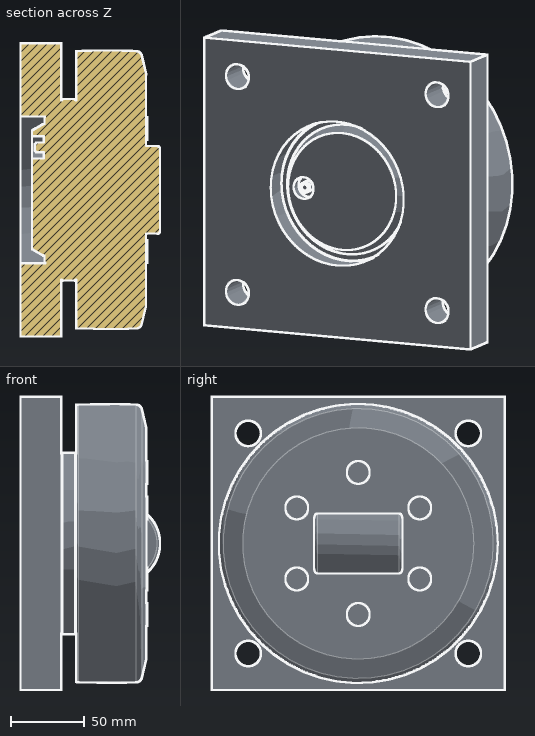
import cadquery as cq

PLATE_SIDE = 200.0
PLATE_THICKNESS = 28.0
BOLT_HOLE_DIAMETER = 17.2
BOLT_HOLE_SPACING = 150.0

RECESS_DIAMETER = 100.0
RECESS_DEPTH = 16.5
RECESS_FLOOR_CHAMFER = 0.5
HUB_DIAMETER = 90.0
HUB_FACE_DEPTH = 8.0
HUB_FACE_DIAMETER = 81.2
HUB_CONE_LENGTH = 7.5

NIPPLE_Y = 29.0
NIPPLE_POCKET_DIAMETER = 15.0
NIPPLE_POCKET_DEPTH = 8.0
NIPPLE_HEX_DIAMETER = 8.0
NIPPLE_HEX_TOP_DEPTH = 2.8
NIPPLE_TIP_BASE_DIAMETER = 6.8
NIPPLE_TIP_DIAMETER = 4.5
NIPPLE_TIP_HEIGHT = 1.0

NECK_DIAMETER = 124.0
NECK_LENGTH = 10.0
NECK_CHAMFER = 0.8

ROLLER_BACK_X = PLATE_THICKNESS + NECK_LENGTH
ROLLER_FRONT_X = 86.0
ROLLER_CROWN_RADIUS = 95.2
ROLLER_EDGE_RADIUS = 94.8
ROLLER_BACK_CHAMFER_LENGTH = 1.5
ROLLER_BACK_CHAMFER_DEPTH = 0.2
CROWN_LENGTH = 39.2
SHOULDER_LENGTH = 4.0
SHOULDER_RADIUS = 92.0
FRONT_FACE_RADIUS = 78.8

CAP_COUNT = 6
CAP_CIRCLE_RADIUS = 48.5
CAP_DIAMETER = 15.5
CAP_HEIGHT = 0.5

BAR_TOP_X = 95.5
BAR_LENGTH = 60.0
BAR_BASE_WIDTH = 40.8
BAR_EDGE_ROUND = 2.2


def disc(diameter, start_x, end_x, y=0.0, z=0.0):
    """Cylinder along +X from start_x to end_x, centred on (y, z)."""
    face = cq.Workplane("YZ", origin=(start_x, y, z))
    return face.circle(diameter / 2).extrude(end_x - start_x)


def make_plate():
    plate = cq.Workplane("YZ").rect(PLATE_SIDE, PLATE_SIDE).extrude(PLATE_THICKNESS)
    holes = (
        cq.Workplane("YZ")
        .rect(BOLT_HOLE_SPACING, BOLT_HOLE_SPACING, forConstruction=True)
        .vertices()
        .circle(BOLT_HOLE_DIAMETER / 2)
        .extrude(PLATE_THICKNESS)
    )
    return plate.cut(holes).cut(disc(RECESS_DIAMETER, 0, PLATE_THICKNESS))


def make_recess_floor():
    floor = disc(RECESS_DIAMETER, RECESS_DEPTH, PLATE_THICKNESS)
    return floor.faces("<X").chamfer(RECESS_FLOOR_CHAMFER)


def make_hub():
    hub = disc(HUB_DIAMETER, HUB_FACE_DEPTH, PLATE_THICKNESS)
    rim_width = (HUB_DIAMETER - HUB_FACE_DIAMETER) / 2
    hub = hub.faces("<X").chamfer(HUB_CONE_LENGTH, rim_width)
    pocket_floor_x = HUB_FACE_DEPTH + NIPPLE_POCKET_DEPTH
    return hub.cut(disc(NIPPLE_POCKET_DIAMETER, HUB_FACE_DEPTH, pocket_floor_x, y=NIPPLE_Y))


def make_nipple():
    pocket_floor_x = HUB_FACE_DEPTH + NIPPLE_POCKET_DEPTH
    hex_top_x = HUB_FACE_DEPTH + NIPPLE_HEX_TOP_DEPTH
    hexagon = (
        cq.Workplane("YZ", origin=(hex_top_x, NIPPLE_Y, 0))
        .transformed(rotate=(0, 0, 90))
        .polygon(6, NIPPLE_HEX_DIAMETER)
        .extrude(pocket_floor_x - hex_top_x)
    )
    tip = cq.Solid.makeCone(
        NIPPLE_TIP_BASE_DIAMETER / 2,
        NIPPLE_TIP_DIAMETER / 2,
        NIPPLE_TIP_HEIGHT,
        cq.Vector(hex_top_x, NIPPLE_Y, 0),
        cq.Vector(-1, 0, 0),
    )
    return hexagon.union(cq.Workplane(tip))


def make_neck():
    neck = disc(NECK_DIAMETER, PLATE_THICKNESS, ROLLER_BACK_X)
    return neck.edges().chamfer(NECK_CHAMFER)


def make_roller():
    crown_start_x = ROLLER_BACK_X + ROLLER_BACK_CHAMFER_LENGTH
    crown_end_x = crown_start_x + CROWN_LENGTH
    crown_middle_x = crown_start_x + CROWN_LENGTH / 2
    shoulder_end_x = crown_end_x + SHOULDER_LENGTH
    half_section = (
        cq.Workplane("XY")
        .moveTo(ROLLER_BACK_X, 0)
        .lineTo(ROLLER_BACK_X, ROLLER_EDGE_RADIUS - ROLLER_BACK_CHAMFER_DEPTH)
        .lineTo(crown_start_x, ROLLER_EDGE_RADIUS)
        .threePointArc((crown_middle_x, ROLLER_CROWN_RADIUS), (crown_end_x, ROLLER_EDGE_RADIUS))
        .tangentArcPoint((shoulder_end_x, SHOULDER_RADIUS), relative=False)
        .lineTo(ROLLER_FRONT_X, FRONT_FACE_RADIUS)
        .lineTo(ROLLER_FRONT_X, 0)
        .close()
    )
    return half_section.revolve(360, (0, 0, 0), (1, 0, 0))


def make_caps():
    face = cq.Workplane("YZ", origin=(ROLLER_FRONT_X, 0, 0))
    centres = face.polarArray(CAP_CIRCLE_RADIUS, 90, 360, CAP_COUNT)
    return centres.circle(CAP_DIAMETER / 2).extrude(CAP_HEIGHT)


def make_bar():
    rise = BAR_TOP_X - ROLLER_FRONT_X
    radius = ((BAR_BASE_WIDTH / 2) ** 2 + rise**2) / (2 * rise)
    bar = (
        cq.Workplane("XZ", origin=(BAR_TOP_X - radius, BAR_LENGTH / 2, 0))
        .circle(radius)
        .extrude(BAR_LENGTH)
        .edges()
        .fillet(BAR_EDGE_ROUND)
    )
    return bar.intersect(disc(2 * FRONT_FACE_RADIUS, ROLLER_FRONT_X, BAR_TOP_X))


result = (
    make_plate()
    .union(make_recess_floor())
    .union(make_hub())
    .union(make_nipple())
    .union(make_neck())
    .union(make_roller())
    .union(make_caps())
    .union(make_bar())
)